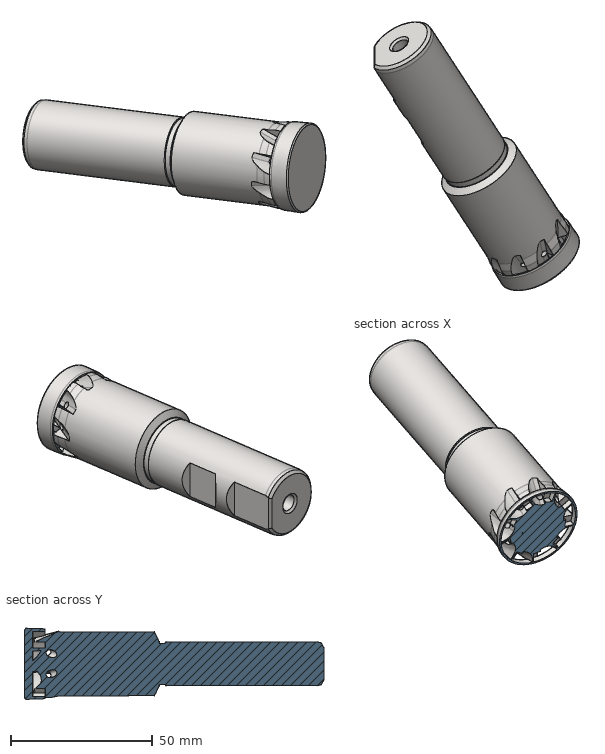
import cadquery as cq
import math

TOTAL_LENGTH = 106.0
SHANK_LENGTH = 56.0
NECK_END = 58.3
BODY_START = 60.0
TAPER_START = 93.5
TAPER_END = 96.5
HEAD_START = 98.7
HEAD_BEVEL_END = 99.5
POCKET_END = 103.0

SHANK_RADIUS = 12.5
NECK_RADIUS = 12.2
BODY_RADIUS = 15.0
SHOULDER_RADIUS = SHANK_RADIUS
SEAT_RADIUS = 15.45
HEAD_BACK_RADIUS = 15.65
RING_INNER_RADIUS = 15.0
HEAD_BEVEL_RADIUS = 15.85
HEAD_RADIUS = 16.0
HEAD_CHAMFER = 0.5
NECK_CHAMFER = SHANK_RADIUS - NECK_RADIUS

END_CHAMFER = 1.0
LEAD_IN_RADIUS = 12.3
LEAD_IN_LENGTH = 2.3

FLAT_HEIGHT = 10.5
END_FLAT_LENGTH = 17.0
MIDDLE_FLAT_START = 26.0
MIDDLE_FLAT_LENGTH = 12.0
FLAT_CUT_DEPTH = 4.0
FLAT_END_CHAMFER = 0.9

BORE_RADIUS = 3.0
BORE_MOUTH_RADIUS = 3.8
BORE_DEPTH = 87.6
DRILL_POINT_ANGLE = 118.0

POCKET_COUNT = 9
FIRST_POCKET_ANGLE = -11.0
POCKET_START = 90.0
POCKET_NOSE = 90.8
POCKET_SLOPE = math.tan(math.radians(26.0))
POCKET_DRIFT = 0.07
RAKE_CORNER_LIFT = 0.3
STRIP_WIDTH = 1.8
FLOOR_RADIUS = 5.5
POCKET_HEIGHT = 14.0

SEAT_DEPTH = 2.0
SEAT_FLOOR_RADIUS = 11.3

OUTLET_RADIUS = 1.25
OUTLET_X = 97.8
OUTLET_OFFSET = 1.8
OUTLET_ANGLE = 45.0
OUTLET_OVERSHOOT = 1.0


def turned_body():
    """Solid of revolution about X carrying every turned diameter."""
    outline = [
        (0, 0),
        (0, LEAD_IN_RADIUS - END_CHAMFER),
        (END_CHAMFER, LEAD_IN_RADIUS),
        (LEAD_IN_LENGTH, SHANK_RADIUS),
        (SHANK_LENGTH, SHANK_RADIUS),
        (SHANK_LENGTH + NECK_CHAMFER, NECK_RADIUS),
        (NECK_END, NECK_RADIUS),
        (NECK_END, SHOULDER_RADIUS),
        (BODY_START, BODY_RADIUS),
        (TAPER_START, BODY_RADIUS),
        (TAPER_END, SEAT_RADIUS),
        (HEAD_START, SEAT_RADIUS),
        (HEAD_START, HEAD_BACK_RADIUS),
        (HEAD_BEVEL_END, HEAD_BEVEL_RADIUS),
        (TOTAL_LENGTH - HEAD_CHAMFER, HEAD_RADIUS),
        (TOTAL_LENGTH, HEAD_RADIUS - HEAD_CHAMFER),
        (TOTAL_LENGTH, 0),
    ]
    return cq.Workplane("XY").polyline(outline).close().revolve(360, (0, 0, 0), (1, 0, 0))


def flat_cutter(points):
    """Prism through the shank along Z from a closed XY outline."""
    return cq.Workplane("XY").polyline(points).close().extrude(SHANK_RADIUS, both=True)


def clamping_flats():
    """Cutter for the end flat (with its bevelled edge) and the middle flat."""
    top = FLAT_HEIGHT + FLAT_CUT_DEPTH
    end_flat = flat_cutter([
        (0, top),
        (0, FLAT_HEIGHT - FLAT_END_CHAMFER),
        (FLAT_END_CHAMFER, FLAT_HEIGHT),
        (END_FLAT_LENGTH, FLAT_HEIGHT),
        (END_FLAT_LENGTH + FLAT_CUT_DEPTH, top),
    ])
    middle_end = MIDDLE_FLAT_START + MIDDLE_FLAT_LENGTH
    middle_flat = flat_cutter([
        (MIDDLE_FLAT_START - FLAT_CUT_DEPTH, top),
        (MIDDLE_FLAT_START, FLAT_HEIGHT),
        (middle_end, FLAT_HEIGHT),
        (middle_end + FLAT_CUT_DEPTH, top),
    ])
    return end_flat.union(middle_flat)


def coolant_bore():
    """Blind axial bore with a chamfered mouth and a drill-point bottom."""
    mouth_depth = BORE_MOUTH_RADIUS - BORE_RADIUS
    point_depth = BORE_RADIUS / math.tan(math.radians(DRILL_POINT_ANGLE / 2))
    outline = [
        (0, 0),
        (0, BORE_MOUTH_RADIUS),
        (mouth_depth, BORE_RADIUS),
        (BORE_DEPTH, BORE_RADIUS),
        (BORE_DEPTH + point_depth, 0),
    ]
    return cq.Workplane("XY").polyline(outline).close().revolve(360, (0, 0, 0), (1, 0, 0))


def floor_level(x):
    """Distance from the axis to the lowest line of a chip pocket at station x."""
    return BODY_RADIUS - POCKET_SLOPE * (x - POCKET_NOSE)


def head_ring():
    """Closed ring around the head that the chip pockets pass beneath."""
    ring_plane = cq.Workplane("YZ", origin=(HEAD_START, 0, 0))
    outer_radius = HEAD_RADIUS + POCKET_HEIGHT
    return ring_plane.circle(outer_radius).circle(RING_INNER_RADIUS).extrude(TOTAL_LENGTH - HEAD_START)


def chip_pocket():
    """Pocket cutter on the -Y side: rake wall, narrow strip and rounded floor."""
    section_plane = cq.Plane(origin=(POCKET_START, 0, 0), xDir=(0, -1, 0), normal=(1, 0, 0))
    base = floor_level(POCKET_START)
    top = base + POCKET_HEIGHT
    arc_rise = FLOOR_RADIUS * (1 - math.cos(math.radians(45)))
    arc_run = FLOOR_RADIUS * math.sin(math.radians(45))
    section = (
        cq.Workplane(section_plane)
        .moveTo(top, 0)
        .lineTo(base + RAKE_CORNER_LIFT, 0)
        .lineTo(base, STRIP_WIDTH)
        .threePointArc(
            (base + arc_rise, STRIP_WIDTH + arc_run),
            (base + FLOOR_RADIUS, STRIP_WIDTH + FLOOR_RADIUS),
        )
        .lineTo(top, STRIP_WIDTH + FLOOR_RADIUS)
        .close()
    )
    length = POCKET_END - POCKET_START
    sweep = cq.Vector(length, POCKET_SLOPE * length, -POCKET_DRIFT * length)
    face = cq.Face.makeFromWires(section.val())
    pocket = cq.Workplane(cq.Solid.extrudeLinear(face, sweep))
    return pocket.cut(head_ring())


def insert_seat():
    """Box cutter under the head ring, setting the rake wall of a pocket back."""
    seat_plane = cq.Plane(origin=(HEAD_START, 0, 0), xDir=(0, -1, 0), normal=(1, 0, 0))
    seat = (
        cq.Workplane(seat_plane)
        .moveTo(SEAT_FLOOR_RADIUS, -SEAT_DEPTH)
        .lineTo(HEAD_RADIUS, -SEAT_DEPTH)
        .lineTo(HEAD_RADIUS, STRIP_WIDTH)
        .lineTo(SEAT_FLOOR_RADIUS, STRIP_WIDTH)
        .close()
        .extrude(POCKET_END - HEAD_START)
    )
    return seat.cut(head_ring())


def coolant_outlet():
    """Oblique hole from the bore to the strip of the pocket on the -Y side."""
    angle = math.radians(OUTLET_ANGLE)
    mouth_radius = floor_level(OUTLET_X)
    inner_x = OUTLET_X - mouth_radius / math.tan(angle)
    start = cq.Vector(inner_x, 0, 0)
    mouth = cq.Vector(OUTLET_X, -mouth_radius, -OUTLET_OFFSET)
    direction = mouth - start
    length = direction.Length + OUTLET_OVERSHOOT
    return cq.Workplane(cq.Solid.makeCylinder(OUTLET_RADIUS, length, start, direction))


def around_axis(cutter, index):
    """Turn a cutter from the -Y side to the given pocket position."""
    angle = FIRST_POCKET_ANGLE + index * 360 / POCKET_COUNT
    return cutter.rotate((0, 0, 0), (1, 0, 0), -angle)


result = turned_body().cut(clamping_flats()).cut(coolant_bore())
pocket_cutters = [chip_pocket(), insert_seat(), coolant_outlet()]
for index in range(POCKET_COUNT):
    for cutter in pocket_cutters:
        result = result.cut(around_axis(cutter, index))